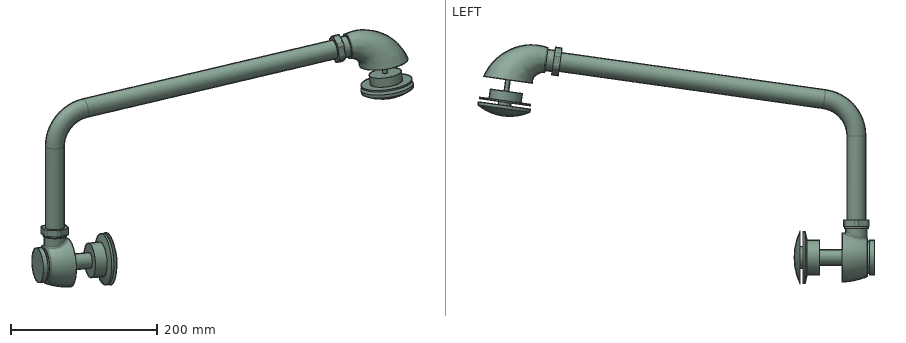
import cadquery as cq
import math


pipe_radius = 13.0
bend_radius = 51.0
riser_top = 166.5
pipe_slope = 8.0
upper_pipe_length = 365.5

nut_flats = 35.0
nut_corner_round = 5.5
nut_length = 9.0
collar_radius = 14.5
collar_base_fillet = 2.0
nut_seat_radius = 16.5
nut_seat_length = 2.5

riser_nut_base = 42.5
body_back = 19.5
body_front = -15.0
body_back_radius = 33.5
body_mid_radius = 31.5
body_front_radius = 26.0
body_front_fillet = 2.0
cap_front = -25.0
cap_radius = 24.0
cap_groove_radius = 22.5
cap_groove_width = 2.5
stem_radius = 11.0
overflow_drum_radius = 24.0
overflow_drum_start = 50.5
overflow_flange_start = 67.5
overflow_flange_cone = 2.5
overflow_flange_end = 73.5
overflow_dome_start = 77.0
overflow_dome_tip = 85.5
overflow_neck_radius = 15.0

flange_radius = 35.5
dome_diameter = 72.5
dome_radius = dome_diameter / 2

elbow_collar_length = 10.0
elbow_ring_radius = 17.5
elbow_ring_length = 1.5
elbow_face_drop = 34.0
elbow_face_near = 13.0
elbow_face_far = 80.5
elbow_upper_crown = (31.5, 16.0)
elbow_upper_throat = (4.5, -19.0)
elbow_lower_crown = (62.0, -2.5)
elbow_lower_throat = (11.0, -24.5)

drain_stem_radius = 3.0
drain_drum_radius = 22.5
drain_drum_top = 16.0
drain_flange_top = 29.0
drain_flange_bottom = 31.0
drain_neck_radius = 8.5
drain_dome_top = 35.5
drain_dome_edge = 39.5
drain_dome_tip = 50.0


def disc(radius, start, end):
    """Cylinder on the Z axis between two heights."""
    return cq.Workplane("XY").workplane(offset=start).circle(radius).extrude(end - start)


def dome(radius, start, edge, tip):
    """Cover on the Z axis: a straight rim from start to edge, then a spherical cap to tip."""
    rise = tip - edge
    sphere_radius = (radius**2 + rise**2) / (2 * rise)
    half_angle = math.asin(radius / sphere_radius) / 2
    arc_mid = (
        sphere_radius * math.sin(half_angle),
        tip - sphere_radius * (1 - math.cos(half_angle)),
    )
    profile = cq.Workplane("XZ").moveTo(0, start).lineTo(radius, start)
    if edge != start:
        profile = profile.lineTo(radius, edge)
    profile = profile.threePointArc(arc_mid, (0, tip)).close()
    return profile.revolve(360, (0, 0, 0), (0, 1, 0))


def nut(start):
    """Hexagonal nut on the Z axis with rounded corners pointing along X."""
    corner_diameter = nut_flats / math.cos(math.radians(30))
    blank = cq.Workplane("XY").workplane(offset=start).polygon(6, corner_diameter).extrude(nut_length)
    return blank.edges("|Z").fillet(nut_corner_round)


def pipe_run():
    """Riser, bend and sloping upper pipe swept as one rod."""
    turn = math.radians(90 - pipe_slope)
    bend_mid = (bend_radius * (1 - math.cos(turn / 2)), riser_top + bend_radius * math.sin(turn / 2))
    path = (
        cq.Workplane("YZ")
        .lineTo(0, riser_top)
        .threePointArc(bend_mid, bend_end)
        .lineTo(*pipe_end)
    )
    return cq.Workplane("XY").circle(pipe_radius).sweep(path)


def riser_fitting():
    """Nut and its seat at the foot of the riser."""
    seat_start = riser_nut_base - nut_seat_length
    seat = disc(nut_seat_radius, seat_start, riser_nut_base)
    return nut(riser_nut_base).union(seat)


def overflow_body():
    """Overflow body turned onto Y, with the collar that rises from it to the riser nut."""
    body = (
        cq.Workplane("XZ")
        .moveTo(0, body_front)
        .lineTo(body_front_radius, body_front)
        .threePointArc((body_mid_radius, (body_front + body_back) / 2), (body_back_radius, body_back))
        .lineTo(0, body_back)
        .close()
        .revolve(360, (0, 0, 0), (0, 1, 0))
        .faces("<Z")
        .edges()
        .fillet(body_front_fillet)
    )
    body = body.rotate((0, 0, 0), (1, 0, 0), -90)
    collar = disc(collar_radius, 0, riser_nut_base)
    reach = 2 * collar_radius
    seam_top = riser_nut_base - nut_seat_length
    seam_box = cq.selectors.BoxSelector((-reach, -reach, collar_radius), (reach, reach, seam_top))
    return body.union(collar).edges(seam_box).fillet(collar_base_fillet)


def overflow_stack():
    """Cap, stem, drum, flange and cover, made on Z and turned onto Y."""
    cone_end = overflow_flange_start + overflow_flange_cone
    flange = (
        cq.Workplane("XZ")
        .moveTo(0, overflow_flange_start)
        .lineTo(overflow_drum_radius, overflow_flange_start)
        .lineTo(flange_radius, cone_end)
        .lineTo(flange_radius, overflow_flange_end)
        .lineTo(0, overflow_flange_end)
        .close()
        .revolve(360, (0, 0, 0), (0, 1, 0))
    )
    stack = (
        disc(cap_groove_radius, body_front - cap_groove_width, body_front)
        .union(disc(cap_radius, cap_front, body_front - cap_groove_width))
        .union(disc(stem_radius, body_back, overflow_drum_start))
        .union(disc(overflow_drum_radius, overflow_drum_start, overflow_flange_start))
        .union(flange)
        .union(disc(overflow_neck_radius, overflow_flange_end, overflow_dome_start))
        .union(dome(dome_radius, overflow_dome_start, overflow_dome_start, overflow_dome_tip))
    )
    return stack.rotate((0, 0, 0), (1, 0, 0), -90)


def elbow_shell():
    """Flaring elbow from the mouth, facing the pipe, to the round face above the drain."""
    sections = [
        ((0, elbow_ring_radius), (0, -elbow_ring_radius)),
        (elbow_upper_crown, elbow_upper_throat),
        (elbow_lower_crown, elbow_lower_throat),
        ((elbow_face_far, -elbow_face_drop), (elbow_face_near, -elbow_face_drop)),
    ]
    wires = []
    for crown, throat in sections:
        across_y = crown[0] - throat[0]
        across_z = crown[1] - throat[1]
        span = math.hypot(across_y, across_z)
        center = cq.Vector(0, (crown[0] + throat[0]) / 2, (crown[1] + throat[1]) / 2)
        normal = cq.Vector(0, across_z, -across_y)
        plane = cq.Plane(center, xDir=(0, across_y, across_z), normal=normal)
        wires.append(cq.Workplane(plane).circle(span / 2).wires().val())
    return cq.Workplane(cq.Solid.makeLoft(wires))


def elbow_and_drain():
    """Nut, elbow and drain stack with the pipe along Y and its end at the origin."""
    mouth = nut_length + elbow_collar_length + elbow_ring_length
    ring_start = mouth - elbow_ring_length
    fitting = (
        nut(0)
        .union(disc(collar_radius, 0, ring_start))
        .union(disc(elbow_ring_radius, ring_start, mouth))
        .rotate((0, 0, 0), (0, 0, 1), 90)
        .rotate((0, 0, 0), (1, 0, 0), -90)
    )
    stack = (
        disc(drain_stem_radius, 0, drain_drum_top)
        .union(disc(drain_drum_radius, drain_drum_top, drain_flange_top))
        .union(disc(flange_radius, drain_flange_top, drain_flange_bottom))
        .union(disc(drain_neck_radius, drain_flange_bottom, drain_dome_top))
        .union(dome(dome_radius, drain_dome_top, drain_dome_edge, drain_dome_tip))
        .rotate((0, 0, 0), (1, 0, 0), 180)
    )
    drain_y = (elbow_face_near + elbow_face_far) / 2
    stack = stack.translate((0, mouth + drain_y, -elbow_face_drop))
    return fitting.union(elbow_shell().translate((0, mouth, 0))).union(stack)


slope = math.radians(pipe_slope)
bend_end = (bend_radius * (1 - math.sin(slope)), riser_top + bend_radius * math.cos(slope))
pipe_end = (
    bend_end[0] + upper_pipe_length * math.cos(slope),
    bend_end[1] + upper_pipe_length * math.sin(slope),
)

upper_end = (
    elbow_and_drain()
    .rotate((0, 0, 0), (1, 0, 0), pipe_slope)
    .translate((0, pipe_end[0], pipe_end[1]))
)

result = pipe_run().union(riser_fitting()).union(overflow_body()).union(overflow_stack()).union(upper_end)